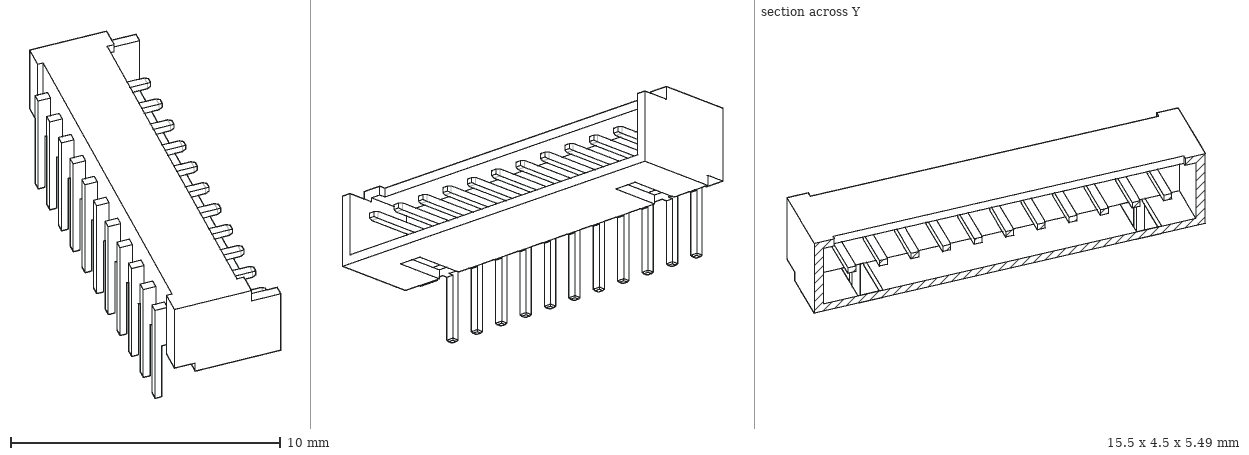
import cadquery as cq


length = 15.5
depth = 4.22
height = 3.32
end_wall = 0.39
floor_wall = 0.35
rear_wall = 1.16
wall_notch_depth = 1.16
wall_notch_height = 0.51
roof_setback = 1.44
roof_tab_width = 0.8
rear_step_depth = 0.82
rear_step_height = 0.4
rear_recess_depth = 0.22
ear_width = 0.85

slot_offset = 1.74
slot_width = 0.99
slot_setback = 1.3

pin_count = 11
pin_row_length = 12.51
pin_pitch = pin_row_length / (pin_count - 1)
pin_width = 0.33
pin_thickness = 0.28
pin_drop = 2.17
pin_top = height - 1.07
tip_gap = 0.02
contact_taper = 0.15
leg_taper = 0.06
tip_scale = 0.7


def block(x_range, y_range, z_range):
    """Axis-aligned box between the given limits."""
    (x0, x1), (y0, y1), (z0, z1) = x_range, y_range, z_range
    return cq.Workplane("XY").box(x1 - x0, y1 - y0, z1 - z0, centered=False).translate((x0, y0, z0))


def make_housing():
    half = length / 2
    floor_top = floor_wall
    roof_bottom = height - floor_wall
    notch_y = depth - wall_notch_depth
    notch_z = height - wall_notch_height
    roof_y = depth - roof_setback
    tab_x = half - roof_tab_width
    ear_x = half - ear_width
    cavity_x = half - end_wall

    housing = block((-half, half), (0, depth), (0, height))
    housing = housing.cut(block((-half, half), (notch_y, depth), (notch_z, height)))
    housing = housing.cut(block((-half, half), (0, rear_step_depth), (0, rear_step_height)))
    housing = housing.cut(block((-ear_x, ear_x), (0, rear_recess_depth), (0, height)))
    housing = housing.cut(block((-cavity_x, cavity_x), (rear_wall, notch_y), (floor_top, roof_bottom)))
    housing = housing.cut(block((-cavity_x, cavity_x), (notch_y, depth), (floor_top, height)))
    housing = housing.cut(block((-tab_x, tab_x), (roof_y, depth), (roof_bottom, height)))

    slot_start = half - slot_offset
    slot_end = slot_start - slot_width
    for x_range in ((-slot_start, -slot_end), (slot_end, slot_start)):
        housing = housing.cut(block(x_range, (rear_step_depth, depth - slot_setback), (0, floor_top)))
    return housing


def make_pin():
    """One right-angle pin centred on x = 0, with the web that joins its leg to the rear face."""
    half = pin_width / 2
    tip_y = depth - tip_gap
    contact_z = (height - pin_thickness) / 2

    leg = block((-half, half), (-pin_thickness, 0), (leg_taper - pin_drop, pin_top))
    contact_y = (-pin_thickness, tip_y - contact_taper)
    contact = block((-half, half), contact_y, (contact_z, contact_z + pin_thickness))
    web = block((-half, half), (-pin_thickness, rear_recess_depth), (rear_step_height, pin_top))
    leg_tip = taper(leg.faces("<Z"), leg_taper)
    contact_tip = taper(contact.faces(">Y"), contact_taper)
    return leg.union(contact).union(web).union(leg_tip).union(contact_tip)


def taper(end_face, tip_length):
    """Tip narrowing from a pin end face."""
    return (
        end_face.workplane(centerOption="CenterOfMass")
        .rect(pin_width, pin_thickness)
        .workplane(offset=tip_length)
        .rect(tip_scale * pin_width, tip_scale * pin_thickness)
        .loft(combine=False)
    )


pin = make_pin()
result = make_housing()
for index in range(pin_count):
    pin_x = index * pin_pitch - pin_row_length / 2
    result = result.union(pin.translate((pin_x, 0, 0)))